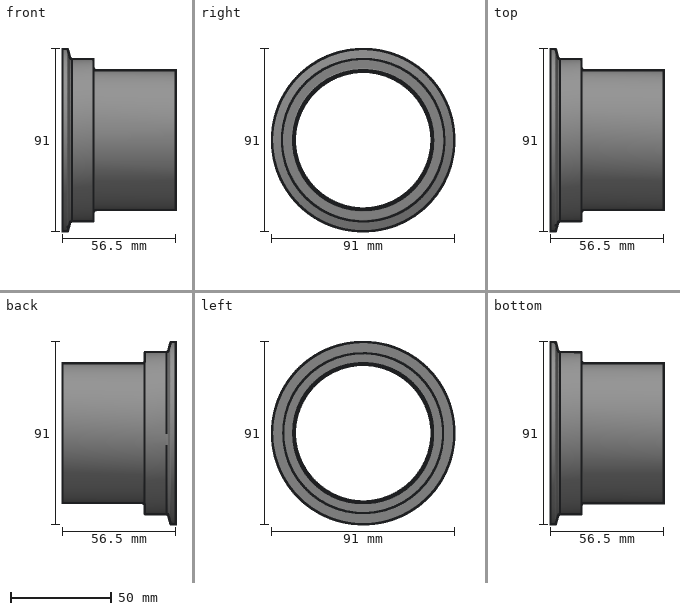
import cadquery as cq
import math

length = 56.5
flange_radius = 45.5
hub_radius = 40.5
tube_radius = 34.9
bore_radius = 34.0

rim_corner_x = 2.6
cone_angle = 15.0
cone_end_x = rim_corner_x + (flange_radius - hub_radius) * math.tan(math.radians(cone_angle))
rim_fillet = 0.7
cone_root_fillet = 0.9

hub_end_x = 15.6
hub_edge_fillet = 0.6
weld_fillet = 0.9

recess_radius = 39.9
recess_depth = 0.9


def turn(points):
    """Revolve a closed (x, radius) outline about the X axis."""
    return cq.Workplane("XY").polyline(points).close().revolve(360, (0, 0, 0), (1, 0, 0))


def fillet_circle(body, x, radius, fillet_radius):
    """Fillet the circular edge at the given x and radius."""
    tolerance = 0.01
    edge_box = cq.selectors.BoxSelector(
        (x - tolerance, -radius - tolerance, -radius - tolerance),
        (x + tolerance, radius + tolerance, radius + tolerance),
        boundingbox=True,
    )
    return body.edges(edge_box).edges(cq.selectors.RadiusNthSelector(-1)).fillet(fillet_radius)


body = turn([
    (0, bore_radius),
    (0, flange_radius),
    (rim_corner_x, flange_radius),
    (cone_end_x, hub_radius),
    (hub_end_x, hub_radius),
    (hub_end_x, tube_radius),
    (length, tube_radius),
    (length, bore_radius),
])

body = fillet_circle(body, rim_corner_x, flange_radius, rim_fillet)
body = fillet_circle(body, cone_end_x, hub_radius, cone_root_fillet)
body = fillet_circle(body, hub_end_x, hub_radius, hub_edge_fillet)
body = fillet_circle(body, hub_end_x, tube_radius, weld_fillet)

recess = turn([
    (0, tube_radius),
    (0, recess_radius),
    (recess_depth, recess_radius),
    (recess_depth, tube_radius),
])

result = body.cut(recess)